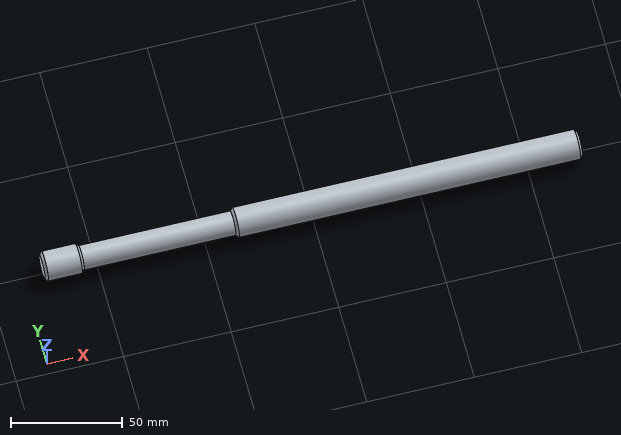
import cadquery as cq

length = 250.0
body_radius = 14.0 / 2
neck_radius = 11.5 / 2
head_length = 17.0
shank_length = 160.0
chamfer = body_radius - neck_radius

left_end = -length / 2
right_end = length / 2
head_end = left_end + head_length
shank_start = right_end - shank_length

profile = [
    (left_end, 0),
    (left_end, body_radius - chamfer),
    (left_end + chamfer, body_radius),
    (head_end, body_radius),
    (head_end + chamfer, neck_radius),
    (shank_start - chamfer, neck_radius),
    (shank_start, body_radius),
    (right_end - chamfer, body_radius),
    (right_end, body_radius - chamfer),
    (right_end, 0),
]

result = cq.Workplane("XY").polyline(profile).close().revolve(360, (0, 0, 0), (1, 0, 0))